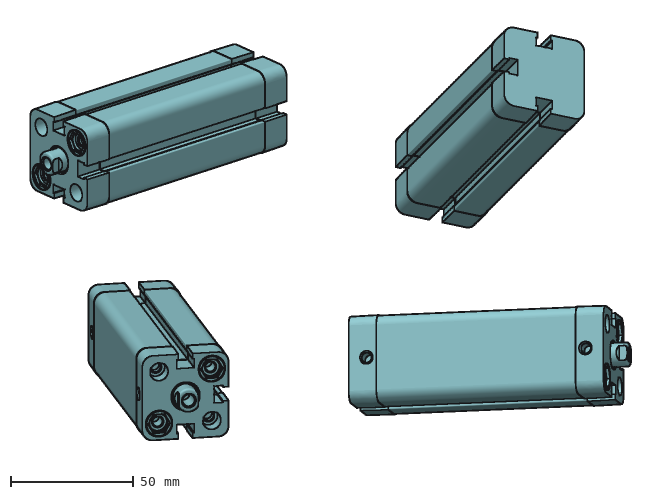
import cadquery as cq
import math

OVERALL_LENGTH = 113.6
ROD_STICKOUT = 6.6
BODY_LENGTH = OVERALL_LENGTH - ROD_STICKOUT
CAP_LENGTH = 11.7
BARREL_LENGTH = BODY_LENGTH - 2 * CAP_LENGTH

CAP_WIDTH = 36.4
CAP_OUTER_WIDTH = 36.0
BARREL_WIDTH = 36.0
CORNER_RADIUS = 4.5

SLOT_NECK_WIDTH = 5.9
SLOT_LIP_Z = 15.7
CAP_SLOT_WIDTH = 7.2
CAP_SLOT_FLOOR_Z = 11.9
BARREL_SLOT_WIDTH = 6.6
BARREL_SLOT_FLOOR_Z = 12.3
SLOT_LIP_FILLET = 0.3
SLOT_ANGLES = (0, 90, 180)

TAP_DIAMETER = 4.1

CORNER_OFFSET = 11.0
COUNTERBORE_DIAMETER = 7.5
COUNTERBORE_DEPTH = 6.8
CORNER_LEAD_DIAMETER = 4.9
SCREW_HEAD_DIAMETER = 11.1
SCREW_RIM_DIAMETER = 10.5
SOCKET_ACROSS_FLATS = 8.0
SOCKET_DEPTH = 1.4
SCREW_BORE_DEPTH = 2.8
CORNER_TAP_DEPTH = 10.2

PORT_FROM_END = 7.5
PORT_LEAD_DIAMETER = 5.6
PORT_DEPTH = 6.8

ROD_DIAMETER = 10.0
ROD_END_FILLET = 1.0
ROD_FLATS_WIDTH = 8.0
ROD_FLATS_LENGTH = 3.3
ROD_TAP_DIAMETER = 5.0
ROD_TAP_DEPTH = 10.2
ROD_LEAD_DIAMETER = 6.0
SEAL_MOUTH_DIAMETER = 12.0
SEAL_THROAT_DIAMETER = 10.9
SEAL_BORE_DIAMETER = 10.5
SEAL_BORE_DEPTH = 1.1


def section_plane(y):
    """XZ plane at the given Y whose normal points along +Y; its local x is -X."""
    return cq.Workplane(cq.Plane(origin=(0, y, 0), xDir=(-1, 0, 0), normal=(0, 1, 0)))


def revolved_tool(radius_depth_points, x, y, z, direction):
    """Solid of revolution from (radius, depth) points, starting at (x, y, z) along direction."""
    radial = (0, 0, 1)
    normal = cq.Vector(*radial).cross(cq.Vector(*direction))
    plane = cq.Plane(origin=(x, y, z), xDir=radial, normal=normal)
    return cq.Workplane(plane).polyline(radius_depth_points).close().revolve(360, (0, 0), (0, 1))


def tapped_hole(tap_diameter, lead_diameter, depth, x, y, z, direction):
    """Blind tap-drill hole with a 45 degree lead-in, starting at (x, y, z)."""
    tap = tap_diameter / 2
    lead = lead_diameter / 2
    points = [(0, 0), (lead, 0), (tap, lead - tap), (tap, depth), (0, depth)]
    return revolved_tool(points, x, y, z, direction)


def t_slots(neck_width, slot_width, floor_z, y, length):
    """T-slot cutters for the slotted faces, over the given stretch of Y."""
    neck = neck_width / 2
    wide = slot_width / 2
    outside = CAP_WIDTH
    outline = [
        (-neck, outside), (-neck, SLOT_LIP_Z), (-wide, SLOT_LIP_Z), (-wide, floor_z),
        (wide, floor_z), (wide, SLOT_LIP_Z), (neck, SLOT_LIP_Z), (neck, outside),
    ]
    slot = section_plane(y).polyline(outline).close().extrude(length)
    cutters = cq.Workplane()
    for angle in SLOT_ANGLES:
        cutters = cutters.add(slot.rotate((0, 0, 0), (0, 1, 0), angle))
    return cutters.combine()


def cap_blank(joint_y, outward):
    """Drafted, slotted end cap that grows from the barrel joint; outward is -1 or +1 along Y."""
    plane = cq.Plane(origin=(0, joint_y, 0), xDir=(-outward, 0, 0), normal=(0, outward, 0))
    draft = math.degrees(math.atan((CAP_WIDTH - CAP_OUTER_WIDTH) / 2 / CAP_LENGTH))
    section = cq.Sketch().rect(CAP_WIDTH, CAP_WIDTH).vertices().fillet(CORNER_RADIUS)
    cap = cq.Workplane(plane).placeSketch(section).extrude(CAP_LENGTH, taper=draft)
    first_y = min(joint_y, joint_y + outward * CAP_LENGTH)
    return cap.cut(t_slots(SLOT_NECK_WIDTH, CAP_SLOT_WIDTH, CAP_SLOT_FLOOR_Z, first_y, CAP_LENGTH))


def port(y):
    """Air port; its lead-in starts just outside the drafted -X face of the cap."""
    start_x = -CAP_WIDTH / 2
    return tapped_hole(TAP_DIAMETER, PORT_LEAD_DIAMETER, PORT_DEPTH, start_x, y, 0, (1, 0, 0))


def counterbored_hole(x, z, bore_depth):
    """Counterbore in the front face with a tapped hole at its floor."""
    bore = section_plane(0).center(-x, z).circle(COUNTERBORE_DIAMETER / 2).extrude(bore_depth)
    tap_depth = CORNER_TAP_DEPTH - bore_depth
    tap = tapped_hole(TAP_DIAMETER, CORNER_LEAD_DIAMETER, tap_depth, x, bore_depth, z, (0, 1, 0))
    return bore.union(tap)


def screw_corner(x, z):
    """Flush screw head: chamfered rim groove and hexagon socket above a counterbored hole."""
    head = SCREW_HEAD_DIAMETER / 2
    rim = SCREW_RIM_DIAMETER / 2
    groove = revolved_tool([(rim, 0), (head, 0), (head, head - rim)], x, 0, z, (0, 1, 0))
    across_corners = SOCKET_ACROSS_FLATS / math.cos(math.pi / 6)
    socket = section_plane(0).center(-x, z).polygon(6, across_corners).extrude(SOCKET_DEPTH)
    return groove.union(socket).union(counterbored_hole(x, z, SCREW_BORE_DEPTH))


def rod_passage():
    """Wiper seal mouth and rod bore through the front cap."""
    mouth = SEAL_MOUTH_DIAMETER / 2
    throat = SEAL_THROAT_DIAMETER / 2
    bore = SEAL_BORE_DIAMETER / 2
    rod = ROD_DIAMETER / 2
    cone_depth = mouth - throat
    points = [
        (0, 0), (mouth, 0), (throat, cone_depth), (bore, cone_depth),
        (bore, SEAL_BORE_DEPTH), (rod, SEAL_BORE_DEPTH), (rod, CAP_LENGTH), (0, CAP_LENGTH),
    ]
    return revolved_tool(points, 0, 0, 0, (0, 1, 0))


def make_front_cap():
    cap = cap_blank(CAP_LENGTH, -1).cut(rod_passage()).cut(port(PORT_FROM_END))
    for side in (-1, 1):
        offset = side * CORNER_OFFSET
        cap = cap.cut(screw_corner(offset, offset))
        cap = cap.cut(counterbored_hole(offset, -offset, COUNTERBORE_DEPTH))
    return cap


def make_rear_cap():
    return cap_blank(BODY_LENGTH - CAP_LENGTH, 1).cut(port(BODY_LENGTH - PORT_FROM_END))


def make_barrel():
    section = cq.Sketch().rect(BARREL_WIDTH, BARREL_WIDTH).vertices().fillet(CORNER_RADIUS)
    barrel = section_plane(CAP_LENGTH).placeSketch(section).extrude(BARREL_LENGTH)
    barrel = barrel.cut(
        t_slots(SLOT_NECK_WIDTH, BARREL_SLOT_WIDTH, BARREL_SLOT_FLOOR_Z, CAP_LENGTH, BARREL_LENGTH)
    )
    neck = SLOT_NECK_WIDTH / 2
    face = BARREL_WIDTH / 2
    middle_y = BODY_LENGTH / 2
    for side in (-neck, neck):
        for lip in ((side, middle_y, face), (face, middle_y, side), (side, middle_y, -face)):
            barrel = barrel.edges(cq.NearestToPointSelector(lip)).fillet(SLOT_LIP_FILLET)
    return barrel


def make_piston_rod():
    rod_length = ROD_STICKOUT + CAP_LENGTH
    rod = section_plane(-ROD_STICKOUT).circle(ROD_DIAMETER / 2).extrude(rod_length)
    rod = rod.faces("<Y").edges().fillet(ROD_END_FILLET)

    flat = ROD_FLATS_WIDTH / 2
    outside = ROD_DIAMETER
    runout_y = ROD_FLATS_LENGTH - ROD_STICKOUT
    outline = [
        (flat, -ROD_STICKOUT), (flat, runout_y),
        (outside, runout_y + outside - flat), (outside, -ROD_STICKOUT),
    ]
    flat_cut = cq.Workplane("XY").polyline(outline).close().extrude(ROD_DIAMETER / 2, both=True)
    rod = rod.cut(flat_cut).cut(flat_cut.mirror("YZ"))

    thread = tapped_hole(
        ROD_TAP_DIAMETER, ROD_LEAD_DIAMETER, ROD_TAP_DEPTH, 0, -ROD_STICKOUT, 0, (0, 1, 0)
    )
    return rod.cut(thread)


front_cap = make_front_cap()
rear_cap = make_rear_cap()
barrel = make_barrel()
piston_rod = make_piston_rod()

result = cq.Compound.makeCompound(
    [front_cap.val(), rear_cap.val(), barrel.val(), piston_rod.val()]
)